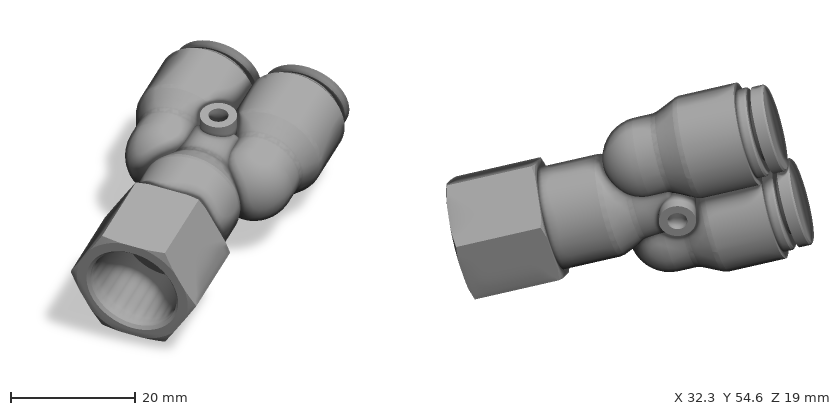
import cadquery as cq
import math

TOTAL_LENGTH = 54.6

HEX_ACROSS_FLATS = 19.0
HEX_LENGTH = 15.0
HEX_MOUTH_FACE_DIAMETER = 19.35
HEX_MOUTH_CHAMFER_LENGTH = 0.5
HEX_BACK_FACE_DIAMETER = 20.15
HEX_BACK_CHAMFER_LENGTH = 0.4
BORE_MOUTH_DIAMETER = 16.0
BORE_DIAMETER = 15.0
BORE_FLOOR_DIAMETER = 14.2
BORE_DEPTH = 13.1
PASSAGE_DIAMETER = 6.4

BARREL_DIAMETER = 16.9
NECK_DIAMETER = 13.2
PORT_OFFSET = 7.7
CONE_LENGTH = 4.1
BLEND_RADIUS = 2.0
BARREL_END_Y = 50.0
BARREL_LENGTH = 9.95
DOME_CENTER_Y = 32.5
STEM_CONE_START_Y = 24.95
STEM_END_FILLET = 1.0

EYE_DIAMETER = 6.0
EYE_HOLE_DIAMETER = 3.2

COLLAR_DIAMETER = 14.7
COLLAR_LENGTH = 1.7
COLLAR_CHAMFER = 0.3

SLEEVE_NECK_DIAMETER = 9.6
FLANGE_WIDTH = 14.95
FLANGE_HEIGHT = 13.2
FLANGE_THICKNESS = 2.1
FLANGE_CHAMFER = 0.3

barrel_cone_y = BARREL_END_Y - BARREL_LENGTH
neck_start_y = barrel_cone_y - CONE_LENGTH
eye_y = neck_start_y
stem_neck_y = STEM_CONE_START_Y + CONE_LENGTH
collar_end_y = BARREL_END_Y + COLLAR_LENGTH
flange_start_y = TOTAL_LENGTH - FLANGE_THICKNESS
port_positions = [-PORT_OFFSET, PORT_OFFSET]


def revolve_about_y(outline):
    """Turn a closed (radius, Y) outline into a solid of revolution about the Y axis."""
    return outline.close().revolve(360, (0, 0), (0, 1))


def round_rim(solid, rim_y, radius):
    """Fillet the circular edge centred on the Y axis at the given Y."""
    return solid.edges(cq.selectors.NearestToPointSelector((0, rim_y, 0))).fillet(radius)


def turned_stack(points):
    """Turned solid whose (radius, Y) outline is a chain of straight segments."""
    return revolve_about_y(cq.Workplane("XY").polyline(points))


def make_socket():
    corner_radius = HEX_ACROSS_FLATS / math.sqrt(3)
    hexagon = (
        cq.Workplane("XZ")
        .polygon(6, 2 * corner_radius)
        .extrude(-HEX_LENGTH)
    )
    corner_chamfers = turned_stack([
        (0, 0),
        (HEX_MOUTH_FACE_DIAMETER / 2, 0),
        (corner_radius, HEX_MOUTH_CHAMFER_LENGTH),
        (corner_radius, HEX_LENGTH - HEX_BACK_CHAMFER_LENGTH),
        (HEX_BACK_FACE_DIAMETER / 2, HEX_LENGTH),
        (0, HEX_LENGTH),
    ])
    mouth_chamfer = (BORE_MOUTH_DIAMETER - BORE_DIAMETER) / 2
    tapered_bore = turned_stack([
        (0, 0),
        (BORE_MOUTH_DIAMETER / 2, 0),
        (BORE_DIAMETER / 2, mouth_chamfer),
        (BORE_FLOOR_DIAMETER / 2, BORE_DEPTH),
        (PASSAGE_DIAMETER / 2, BORE_DEPTH),
        (PASSAGE_DIAMETER / 2, HEX_LENGTH),
        (0, HEX_LENGTH),
    ])
    return hexagon.intersect(corner_chamfers).cut(tapered_bore)


def make_stem():
    stem = turned_stack([
        (0, HEX_LENGTH),
        (BARREL_DIAMETER / 2, HEX_LENGTH),
        (BARREL_DIAMETER / 2, STEM_CONE_START_Y),
        (NECK_DIAMETER / 2, stem_neck_y),
        (NECK_DIAMETER / 2, neck_start_y),
        (0, neck_start_y),
    ])
    stem = round_rim(stem, STEM_CONE_START_Y, BLEND_RADIUS)
    stem = round_rim(stem, stem_neck_y, BLEND_RADIUS)
    return round_rim(stem, neck_start_y, STEM_END_FILLET)


def make_port_barrel(x):
    neck_radius = NECK_DIAMETER / 2
    dome_diagonal = neck_radius * math.sqrt(0.5)
    barrel = revolve_about_y(
        cq.Workplane("XY")
        .moveTo(0, BARREL_END_Y)
        .lineTo(BARREL_DIAMETER / 2, BARREL_END_Y)
        .lineTo(BARREL_DIAMETER / 2, barrel_cone_y)
        .lineTo(neck_radius, neck_start_y)
        .lineTo(neck_radius, DOME_CENTER_Y)
        .threePointArc(
            (dome_diagonal, DOME_CENTER_Y - dome_diagonal),
            (0, DOME_CENTER_Y - neck_radius),
        )
    )
    barrel = round_rim(barrel, barrel_cone_y, BLEND_RADIUS)
    barrel = round_rim(barrel, neck_start_y, BLEND_RADIUS)
    return barrel.rotate((0, 0, 0), (0, 1, 0), 90).translate((x, 0, 0))


def make_eye_cylinder(diameter):
    return (
        cq.Workplane("XY")
        .center(0, eye_y)
        .circle(diameter / 2)
        .extrude(BARREL_DIAMETER / 2, both=True)
    )


def make_housing():
    housing = make_stem()
    for x in port_positions:
        housing = housing.union(make_port_barrel(x))
    housing = housing.union(make_eye_cylinder(EYE_DIAMETER))
    return housing.cut(make_eye_cylinder(EYE_HOLE_DIAMETER))


def make_collar(x):
    return (
        cq.Workplane("XZ", origin=(x, BARREL_END_Y, 0))
        .circle(COLLAR_DIAMETER / 2)
        .extrude(-COLLAR_LENGTH)
        .faces(">Y")
        .chamfer(COLLAR_CHAMFER)
    )


def make_sleeve(x):
    neck = (
        cq.Workplane("XZ", origin=(x, collar_end_y, 0))
        .circle(SLEEVE_NECK_DIAMETER / 2)
        .extrude(collar_end_y - flange_start_y)
    )
    flange = (
        cq.Workplane("XZ", origin=(x, flange_start_y, 0))
        .ellipse(FLANGE_WIDTH / 2, FLANGE_HEIGHT / 2)
        .extrude(-FLANGE_THICKNESS)
        .faces(">Y")
        .chamfer(FLANGE_CHAMFER)
    )
    return neck.union(flange)


socket = make_socket()
housing = make_housing()
collars = [make_collar(x) for x in port_positions]
sleeves = [make_sleeve(x) for x in port_positions]

result = cq.Compound.makeCompound([
    socket.solids().val(),
    housing.solids().val(),
    *[collar.solids().val() for collar in collars],
    *[sleeve.solids().val() for sleeve in sleeves],
])